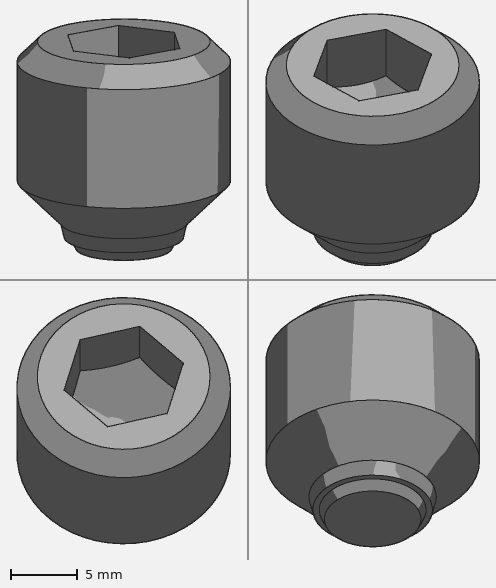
import cadquery as cq
import math

body_radius = 8.0
height = 16.0
top_chamfer = 1.54
shoulder_z = 5.25
neck_z = 2.02
neck_radius = body_radius - (shoulder_z - neck_z)
collar_z = 0.85
collar_radius = 4.48

hex_across_flats = 8.0
hex_across_corners = hex_across_flats / math.cos(math.pi / 6)
hex_corner_radius = hex_across_corners / 2
socket_depth = 4.32
drill_point_angle = 120.0
drill_point_height = hex_corner_radius / math.tan(math.radians(drill_point_angle / 2))

ball_radius = 4.2
ball_flat_radius = 3.62
ball_center_z = math.sqrt(ball_radius**2 - ball_flat_radius**2)


def make_socket():
    """Hexagonal prism whose lower end is pointed by a cone."""
    hexagon = (
        cq.Workplane("XY")
        .polygon(6, hex_across_corners)
        .extrude(height)
    )
    rim_z = height - socket_depth
    drill = (
        cq.Workplane("XZ")
        .moveTo(0, rim_z - drill_point_height)
        .lineTo(hex_corner_radius, rim_z)
        .lineTo(hex_corner_radius, height)
        .lineTo(0, height)
        .close()
        .revolve(360, (0, 0), (0, 1))
    )
    return hexagon.intersect(drill)


def make_full_ball():
    """Complete sphere shared by the ball and its seat."""
    return cq.Workplane("XY").sphere(ball_radius).translate((0, 0, ball_center_z))


def make_screw():
    """Turned body with a hexagonal socket on top and a ball seat below."""
    profile = [
        (0, collar_z),
        (collar_radius, collar_z),
        (neck_radius, neck_z),
        (body_radius, shoulder_z),
        (body_radius, height - top_chamfer),
        (body_radius - top_chamfer, height),
        (0, height),
    ]
    blank = cq.Workplane("XZ").polyline(profile).close().revolve(360, (0, 0), (0, 1))
    return blank.cut(make_socket()).cut(make_full_ball())


def make_ball():
    """Ball cut flat at the lower end of the screw, Z = 0."""
    return make_full_ball().intersect(cq.Workplane("XY").circle(body_radius).extrude(height))


screw = make_screw()
ball = make_ball()

result = cq.Compound.makeCompound([screw.val(), ball.val()])